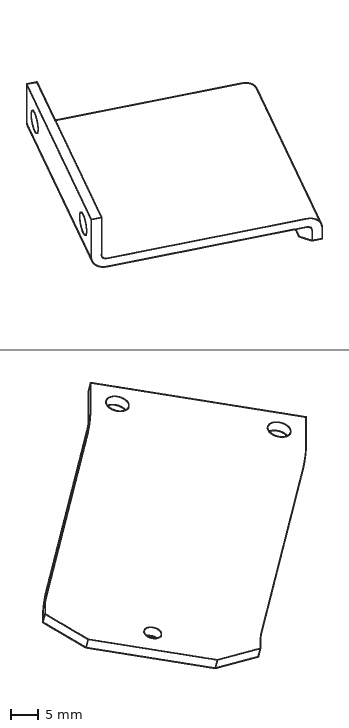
import cadquery as cq

width = 40.0
depth = 44.0
height = 21.0

thickness = 2.0
inner_radius = 1.0
outer_radius = inner_radius + thickness
plate_top = 11.0
plate_bottom = plate_top - thickness

upper_hole_diameter = 4.25
upper_hole_spacing = 30.0
hole_edge_distance = 5.0

lower_hole_diameter = 3.2
taper_width = 8.0
taper_height = 5.5


def bent_sheet():
    """Z profile in the YZ plane, extruded symmetrically across the width."""
    profile = (
        cq.Workplane("YZ")
        .moveTo(0, height)
        .lineTo(0, plate_bottom + outer_radius)
        .radiusArc((outer_radius, plate_bottom), -outer_radius)
        .lineTo(depth - outer_radius, plate_bottom)
        .radiusArc((depth - thickness, plate_bottom - inner_radius), inner_radius)
        .lineTo(depth - thickness, 0)
        .lineTo(depth, 0)
        .lineTo(depth, plate_top - outer_radius)
        .radiusArc((depth - outer_radius, plate_top), -outer_radius)
        .lineTo(outer_radius, plate_top)
        .radiusArc((thickness, plate_top + inner_radius), inner_radius)
        .lineTo(thickness, height)
        .close()
    )
    return profile.extrude(width / 2, both=True)


def flange_holes(positions, diameter):
    """Cutters along Y at the given (x, z) positions, spanning the full depth."""
    return cq.Workplane("XZ").pushPoints(positions).circle(diameter / 2).extrude(-depth)


def corner_taper(side):
    """Triangular cutter for one lower corner of the rear flange."""
    edge = side * width / 2
    corner = [(edge, 0), (edge - side * taper_width, 0), (edge, taper_height)]
    return cq.Workplane("XZ").polyline(corner).close().extrude(-depth)


result = bent_sheet()

upper_hole_z = height - hole_edge_distance
upper_positions = [(side * upper_hole_spacing / 2, upper_hole_z) for side in (-1, 1)]
result = result.cut(flange_holes(upper_positions, upper_hole_diameter))
result = result.cut(flange_holes([(0, hole_edge_distance)], lower_hole_diameter))

for side in (-1, 1):
    result = result.cut(corner_taper(side))